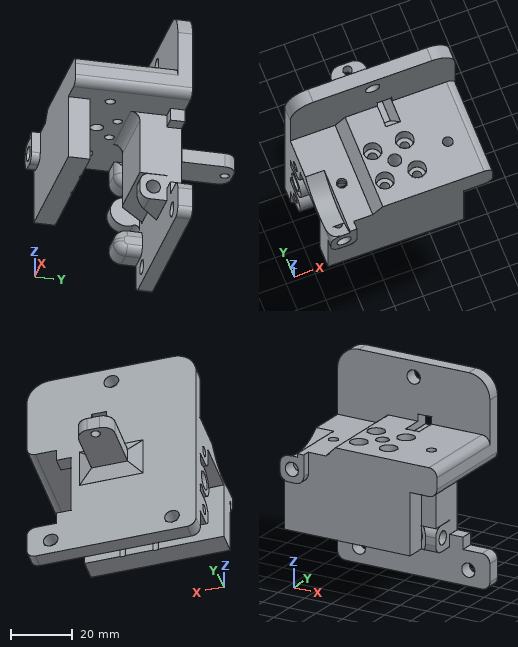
import cadquery as cq
import math


OVERALL_DEPTH = 62.4

PLATE_WIDTH = 57.34
PLATE_HEIGHT = 74.52
PLATE_THICKNESS = 5.0
PLATE_TOP_RADIUS = 8.0
CORNER_RADIUS = 3.0
CENTER_X = PLATE_WIDTH / 2
PLATE_HOLE_DIAMETER = 4.9
TOP_HOLE_Z = 68.9
BOTTOM_HOLE_Z = 5.6
BOTTOM_HOLE_OFFSET = 20.55

NOTCH_X = 47.25
NOTCH_BOTTOM = 12.45
NOTCH_STEP_X = 42.25
NOTCH_STEP_RISE = 4.3

SHELF_BOTTOM = 43.8
LEDGE_TOP = 50.35
SHELF_TOP = 53.85
SHELF_DEPTH = 34.15
LEDGE_WIDTH = 15.6
RAMP_RUN = SHELF_TOP - LEDGE_TOP
WALL_THICKNESS = 7.25
WALL_BOTTOM = 21.7

PATTERN_Y = -20.05
PATTERN_PITCH = 11.2
SCREW_DIAMETER = 3.15
COUNTERBORE_DIAMETER = 6.0
COUNTERBORE_DEPTH = 5.0
CENTER_HOLE_DIAMETER = 4.4
SIDE_HOLE_DIAMETER = 3.35
SIDE_HOLE_OFFSET = 18.45
LEFT_RECESS_DIAMETER = 6.0
LEFT_RECESS_ROOF = 1.75

WINDOW_LEFT = 30.3
WINDOW_WIDTH = 5.05
WINDOW_TOP = 56.35
POCKET_LENGTH = 7.9
POCKET_DEPTH = 2.55

TAB_END_Y = 25.35
TAB_WIDTH = 12.25
TAB_THICKNESS = 5.0
TAB_RADIUS = 4.0
TAB_Z = 33.9
TAB_HOLE_DIAMETER = 3.0
TAB_HOLE_INSET = 2.6
FLARE_LENGTH = 2.0
FLARE_SPREAD = 4.65

LUG_SIZE = 9.0
LUG_EDGE_RADIUS = 4.0
LUG_END_RADIUS = 3.0
PIN_DIAMETER = 3.35
PIN_DEPTH = 6.0
AXIS_Y = -LUG_SIZE / 2
BARREL_Z = 27.0
LUG_SPACING = 12.45
BARREL_DIAMETER = 10.5
BARREL_BORE = 6.35
BARREL_BORE_DEPTH = 3.7
BARREL_LENGTH = 5.0
BARREL_FILLET = 1.5

BLOCK_LEFT = 8.7
BLOCK_BLEND_RADIUS = 2.0
BLOCK_SHELF_FILLET = 3.0

SLANT_LUG_LEFT = 28.35
SLANT_LUG_RUN = 10.0
SLANT_LUG_HEIGHT = 9.2
SLANT_LUG_RADIUS = 3.2
SLANT_LUG_BORE = 4.7

BOSS_WIDTH = 9.0
BOSS_FRONT_Y = TAB_END_Y - OVERALL_DEPTH
BOSS_BOTTOM = 39.85
BOSS_CORNER_TOP = 48.95
BOSS_HOLE_DIAMETER = 4.9
BOSS_HOLE_X = 4.5
BOSS_HOLE_Z = 44.45
BOSS_HOLE_DEPTH = 5.15
SCOOP_WIDTH = 6.55
SCOOP_RADIUS = 18.0
SCOOP_Y = -26.1
SCOOP_FLOOR = 45.45


def box(x, y, z):
    """Box spanning the given (low, high) ranges."""
    size = [high - low for low, high in (x, y, z)]
    return cq.Workplane("XY").box(*size, centered=False).translate((x[0], y[0], z[0]))


def rod_x(diameter, x, y, z):
    """Round bar along X between the two values in x."""
    return cq.Workplane("YZ", origin=(x[0], y, z)).circle(diameter / 2).extrude(x[1] - x[0])


def rod_y(diameter, x, y, z):
    """Round bar along Y between the two values in y."""
    return cq.Workplane("XZ", origin=(x, y[1], z)).circle(diameter / 2).extrude(y[1] - y[0])


def rod_z(diameter, x, y, z):
    """Round bar along Z between the two values in z."""
    return cq.Workplane("XY", origin=(x, y, z[0])).circle(diameter / 2).extrude(z[1] - z[0])


def make_plate():
    through = (0, PLATE_THICKNESS)
    plate = box((0, PLATE_WIDTH), through, (0, PLATE_HEIGHT))
    plate = plate.edges("|Y and >Z").fillet(PLATE_TOP_RADIUS)
    plate = plate.edges("|Y and <Z").fillet(CORNER_RADIUS)
    plate = plate.cut(box((NOTCH_X, PLATE_WIDTH), through, (NOTCH_BOTTOM, SHELF_BOTTOM)))
    for notch_side in (NOTCH_BOTTOM, SHELF_BOTTOM):
        corner = cq.selectors.NearestToPointSelector((PLATE_WIDTH, PLATE_THICKNESS / 2, notch_side))
        plate = plate.edges("|Y").edges(corner).fillet(CORNER_RADIUS)
    step_z = (NOTCH_BOTTOM + NOTCH_STEP_RISE, SHELF_BOTTOM - NOTCH_STEP_RISE)
    plate = plate.cut(box((NOTCH_STEP_X, NOTCH_X), through, step_z))
    hole_places = [
        (CENTER_X, TOP_HOLE_Z),
        (CENTER_X - BOTTOM_HOLE_OFFSET, BOTTOM_HOLE_Z),
        (CENTER_X + BOTTOM_HOLE_OFFSET, BOTTOM_HOLE_Z),
    ]
    for x, z in hole_places:
        plate = plate.cut(rod_y(PLATE_HOLE_DIAMETER, x, through, z))
    return plate


def make_shelf():
    shelf = (
        cq.Workplane("XZ")
        .moveTo(0, SHELF_BOTTOM)
        .lineTo(0, LEDGE_TOP)
        .lineTo(LEDGE_WIDTH, LEDGE_TOP)
        .lineTo(LEDGE_WIDTH + RAMP_RUN, SHELF_TOP)
        .lineTo(PLATE_WIDTH, SHELF_TOP)
        .lineTo(PLATE_WIDTH, SHELF_BOTTOM)
        .close()
        .extrude(SHELF_DEPTH)
        .edges("|Y and >X")
        .fillet(CORNER_RADIUS)
    )
    wall = box((0, NOTCH_X), (-SHELF_DEPTH, WALL_THICKNESS - SHELF_DEPTH), (WALL_BOTTOM, SHELF_BOTTOM))
    return shelf.union(wall)


def make_tab():
    foot_y = PLATE_THICKNESS + FLARE_LENGTH
    tab = box(
        (CENTER_X - TAB_WIDTH / 2, CENTER_X + TAB_WIDTH / 2),
        (PLATE_THICKNESS, TAB_END_Y),
        (TAB_Z - TAB_THICKNESS / 2, TAB_Z + TAB_THICKNESS / 2),
    )
    tab = tab.edges("|Z and >Y").fillet(TAB_RADIUS)
    hole_z = (TAB_Z - TAB_THICKNESS, TAB_Z + TAB_THICKNESS)
    tab = tab.cut(rod_z(TAB_HOLE_DIAMETER, CENTER_X, TAB_END_Y - TAB_HOLE_INSET, hole_z))
    flare = (
        cq.Workplane("XZ", origin=(CENTER_X, foot_y, TAB_Z))
        .rect(TAB_WIDTH, TAB_THICKNESS)
        .workplane(offset=FLARE_LENGTH)
        .rect(TAB_WIDTH + 2 * FLARE_SPREAD, TAB_THICKNESS + 2 * FLARE_SPREAD)
        .loft(ruled=True)
    )
    return tab.union(flare)


def make_pin_lug(center_z, rounded_edges):
    """Square lug rooted in the plate, with a domed right end and a blind pin hole."""
    lug = box(
        (0, LUG_SIZE),
        (-LUG_SIZE, PLATE_THICKNESS),
        (center_z - LUG_SIZE / 2, center_z + LUG_SIZE / 2),
    )
    lug = lug.edges(rounded_edges).fillet(LUG_EDGE_RADIUS)
    lug = lug.faces(">X").edges("not >Y").fillet(LUG_END_RADIUS)
    return lug.cut(rod_x(PIN_DIAMETER, (0, PIN_DEPTH), AXIS_Y, center_z))


def make_barrel():
    """Blind-bored barrel blended into the plate face by a concave fillet above and below."""
    radius = BARREL_DIAMETER / 2
    reach = radius + BARREL_FILLET
    fillet_y = -BARREL_FILLET
    fillet_rise = math.sqrt(reach**2 - (fillet_y - AXIS_Y) ** 2)
    touch_y = AXIS_Y + (fillet_y - AXIS_Y) * radius / reach
    touch_rise = fillet_rise * radius / reach
    barrel = rod_x(BARREL_DIAMETER, (0, BARREL_LENGTH), AXIS_Y, BARREL_Z)
    neck = (
        cq.Workplane("YZ")
        .moveTo(0, BARREL_Z - fillet_rise)
        .lineTo(0, BARREL_Z + fillet_rise)
        .radiusArc((touch_y, BARREL_Z + touch_rise), BARREL_FILLET)
        .lineTo(AXIS_Y, BARREL_Z)
        .lineTo(touch_y, BARREL_Z - touch_rise)
        .radiusArc((0, BARREL_Z - fillet_rise), BARREL_FILLET)
        .close()
        .extrude(BARREL_LENGTH)
    )
    outside_plate = box((0, BARREL_LENGTH), (-2 * LUG_SIZE, 0), (0, PLATE_HEIGHT))
    barrel = barrel.union(neck).intersect(outside_plate)
    return barrel.cut(rod_x(BARREL_BORE, (0, BARREL_BORE_DEPTH), AXIS_Y, BARREL_Z))


def make_slanted_block():
    """Block below the shelf whose left side runs at 45 degrees, filleted into the shelf."""
    front = -LUG_SIZE
    side = (
        cq.Workplane("YZ")
        .moveTo(0, WALL_BOTTOM)
        .lineTo(front, WALL_BOTTOM)
        .lineTo(front, SHELF_BOTTOM - BLOCK_SHELF_FILLET)
        .radiusArc((front - BLOCK_SHELF_FILLET, SHELF_BOTTOM), -BLOCK_SHELF_FILLET)
        .lineTo(0, SHELF_BOTTOM)
        .close()
        .extrude(NOTCH_STEP_X)
    )
    setback = BLOCK_BLEND_RADIUS * math.tan(math.pi / 8)
    leg = setback * math.sqrt(0.5)
    corner_x = BLOCK_LEFT + LUG_SIZE
    plan = (
        cq.Workplane("XY", origin=(0, 0, WALL_BOTTOM))
        .moveTo(BLOCK_LEFT - setback, 0)
        .radiusArc((BLOCK_LEFT + leg, -leg), BLOCK_BLEND_RADIUS)
        .lineTo(corner_x - leg, front + leg)
        .radiusArc((corner_x + setback, front), -BLOCK_BLEND_RADIUS)
        .lineTo(corner_x + setback, front - BLOCK_SHELF_FILLET)
        .lineTo(NOTCH_STEP_X, front - BLOCK_SHELF_FILLET)
        .lineTo(NOTCH_STEP_X, 0)
        .close()
        .extrude(SHELF_BOTTOM - WALL_BOTTOM)
    )
    return side.intersect(plan)


def make_slanted_lug():
    """Bored lug beside the notch, with rounded front edges and a slanted left side."""
    top = NOTCH_BOTTOM + SLANT_LUG_HEIGHT
    lug = box((SLANT_LUG_LEFT, NOTCH_STEP_X), (-LUG_SIZE, 0), (NOTCH_BOTTOM, top))
    lug = lug.edges("|X and <Y").fillet(SLANT_LUG_RADIUS)
    wedge = (
        cq.Workplane("XY")
        .moveTo(SLANT_LUG_LEFT, 0)
        .lineTo(SLANT_LUG_LEFT + SLANT_LUG_RUN, -LUG_SIZE)
        .lineTo(SLANT_LUG_LEFT, -LUG_SIZE)
        .close()
        .extrude(PLATE_HEIGHT)
    )
    bore_z = NOTCH_BOTTOM + SLANT_LUG_HEIGHT / 2
    bore = rod_x(SLANT_LUG_BORE, (SLANT_LUG_LEFT, NOTCH_STEP_X), AXIS_Y, bore_z)
    return lug.cut(wedge).cut(bore)


def make_boss():
    boss = box((0, BOSS_WIDTH), (BOSS_FRONT_Y, -SHELF_DEPTH), (BOSS_BOTTOM, LEDGE_TOP))
    return boss.edges("|Y and <Z").fillet(CORNER_RADIUS)


def make_scoop():
    """Cylindrical scoop over the ledge, also rounding the upper left edge of the boss."""
    scoop = rod_x(2 * SCOOP_RADIUS, (0, SCOOP_WIDTH), SCOOP_Y, SCOOP_FLOOR + SCOOP_RADIUS)
    low_corner = BOSS_CORNER_TOP - CORNER_RADIUS
    edge_y = (BOSS_FRONT_Y, SCOOP_Y)
    corner = box((0, CORNER_RADIUS), edge_y, (low_corner, LEDGE_TOP))
    corner = corner.cut(rod_y(2 * CORNER_RADIUS, CORNER_RADIUS, edge_y, low_corner))
    return scoop.union(corner)


def make_pocket():
    """Window through the plate, with 45 degree slopes at the right and front of its pocket."""
    right = WINDOW_LEFT + WINDOW_WIDTH
    floor = SHELF_TOP - POCKET_DEPTH
    across = (
        cq.Workplane("XZ", origin=(0, PLATE_THICKNESS, 0))
        .moveTo(WINDOW_LEFT, floor)
        .lineTo(WINDOW_LEFT, WINDOW_TOP)
        .lineTo(right, WINDOW_TOP)
        .lineTo(right, SHELF_TOP)
        .lineTo(right - POCKET_DEPTH, floor)
        .close()
        .extrude(PLATE_THICKNESS + POCKET_LENGTH)
    )
    along = (
        cq.Workplane("YZ", origin=(WINDOW_LEFT, 0, 0))
        .moveTo(PLATE_THICKNESS, floor)
        .lineTo(PLATE_THICKNESS, WINDOW_TOP)
        .lineTo(-POCKET_LENGTH, WINDOW_TOP)
        .lineTo(-POCKET_LENGTH, SHELF_TOP)
        .lineTo(POCKET_DEPTH - POCKET_LENGTH, floor)
        .close()
        .extrude(WINDOW_WIDTH)
    )
    return across.intersect(along)


def drill_shelf(body):
    depth = (0, SHELF_TOP)
    counterbore = (SHELF_TOP - COUNTERBORE_DEPTH, SHELF_TOP)
    for side_x in (-1, 1):
        x = CENTER_X + side_x * PATTERN_PITCH / 2
        for side_y in (-1, 1):
            y = PATTERN_Y + side_y * PATTERN_PITCH / 2
            body = body.cut(rod_z(SCREW_DIAMETER, x, y, depth))
            body = body.cut(rod_z(COUNTERBORE_DIAMETER, x, y, counterbore))
        side_hole_x = CENTER_X + side_x * SIDE_HOLE_OFFSET
        body = body.cut(rod_z(SIDE_HOLE_DIAMETER, side_hole_x, PATTERN_Y, depth))
    recess = (SHELF_BOTTOM, LEDGE_TOP - LEFT_RECESS_ROOF)
    body = body.cut(rod_z(LEFT_RECESS_DIAMETER, CENTER_X - SIDE_HOLE_OFFSET, PATTERN_Y, recess))
    return body.cut(rod_z(CENTER_HOLE_DIAMETER, CENTER_X, PATTERN_Y, depth))


body = make_plate()
body = body.union(make_shelf())
body = body.union(make_tab())
body = body.union(make_pin_lug(BARREL_Z - LUG_SPACING, "|X and <Y"))
body = body.union(make_pin_lug(BARREL_Z + LUG_SPACING, "|X and <Y and <Z"))
body = body.union(make_slanted_block())
body = body.union(make_barrel())
body = body.union(make_slanted_lug())
body = body.union(make_boss())
body = body.cut(make_scoop())
boss_hole_y = (BOSS_FRONT_Y, BOSS_FRONT_Y + BOSS_HOLE_DEPTH)
body = body.cut(rod_y(BOSS_HOLE_DIAMETER, BOSS_HOLE_X, boss_hole_y, BOSS_HOLE_Z))
body = body.cut(make_pocket())
result = drill_shelf(body)